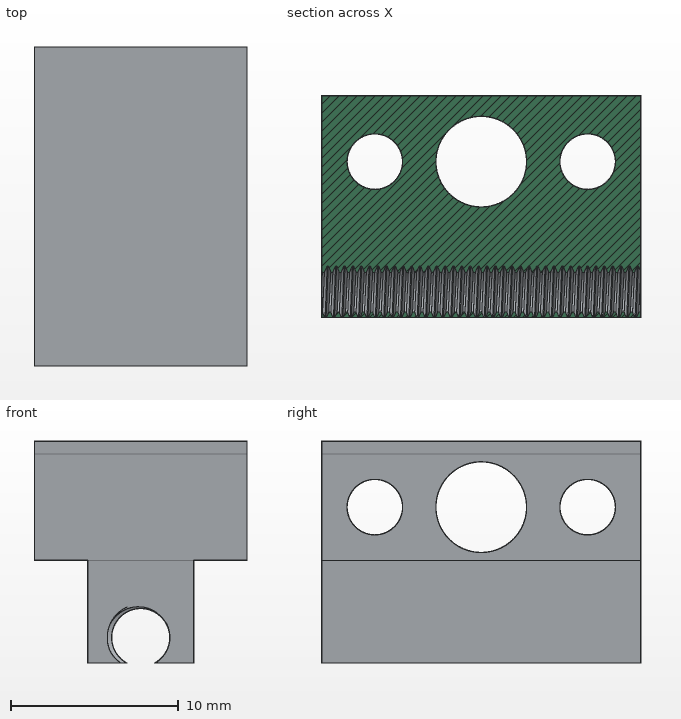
import cadquery as cq
import math

WIDTH = 12.7
LENGTH = 19.05
HEIGHT = 13.24
CAP_THICKNESS = 0.762
BLOCK_HEIGHT = 6.35
STEM_WIDTH = WIDTH / 2
STEM_HEIGHT = HEIGHT - CAP_THICKNESS - BLOCK_HEIGHT

CROSS_HOLE_Z = STEM_HEIGHT + BLOCK_HEIGHT / 2
BORE_DIAMETER = 5.4
SIDE_HOLE_DIAMETER = 3.3
SIDE_HOLE_OFFSET = LENGTH / 3
COUNTERSINK_DIAMETER = 4.1
COUNTERSINK_DEPTH = (COUNTERSINK_DIAMETER - SIDE_HOLE_DIAMETER) / 2

THREAD_Z = 1.52
THREAD_PITCH = 0.5
THREAD_MAJOR_RADIUS = 2.0
THREAD_FLANK_ANGLE = 30
THREAD_DEPTH = THREAD_PITCH / 2 / math.tan(math.radians(THREAD_FLANK_ANGLE)) * 5 / 8
THREAD_MINOR_RADIUS = THREAD_MAJOR_RADIUS - THREAD_DEPTH
GROOVE_ROOT_WIDTH = THREAD_PITCH / 8
GROOVE_FLANK_SLOPE = math.tan(math.radians(THREAD_FLANK_ANGLE))
GROOVE_OVERLAP = 0.05
THREAD_GAP_ANGLE = 20
THREAD_START_ANGLE = 90 - THREAD_GAP_ANGLE / 2
THREAD_RUNOUT_TURNS = 1


def slab(width, height, base_z):
    """Full-length box centred on X and Y, standing on base_z."""
    return cq.Workplane("XY").workplane(offset=base_z).rect(width, LENGTH).extrude(height)


def make_body():
    """T-shaped body; the seams between its three slabs are kept as edges."""
    stem = slab(STEM_WIDTH, STEM_HEIGHT, 0)
    block = slab(WIDTH, BLOCK_HEIGHT, STEM_HEIGHT)
    cap = slab(WIDTH, CAP_THICKNESS, STEM_HEIGHT + BLOCK_HEIGHT)
    return stem.union(block, clean=False).union(cap, clean=False)


def cross_hole(y, diameter):
    """Cylinder along X through the whole block."""
    plane = cq.Workplane("YZ", origin=(-WIDTH / 2, y, CROSS_HOLE_Z))
    return plane.circle(diameter / 2).extrude(WIDTH)


def countersink(y):
    """Cone at the -X mouth of a side hole."""
    cone = cq.Solid.makeCone(
        COUNTERSINK_DIAMETER / 2,
        SIDE_HOLE_DIAMETER / 2,
        COUNTERSINK_DEPTH,
        cq.Vector(-WIDTH / 2, y, CROSS_HOLE_Z),
        cq.Vector(1, 0, 0),
    )
    return cq.Workplane(cone)


def thread_bore():
    """Cylinder at the minor diameter of the thread."""
    plane = cq.Workplane("XZ", origin=(0, LENGTH / 2, THREAD_Z))
    return plane.circle(THREAD_MINOR_RADIUS).extrude(LENGTH)


def thread_turn():
    """One right-hand turn of the groove, its axis along Y, its gap centred on the open underside."""
    sweep_fraction = 1 - THREAD_GAP_ANGLE / 360
    helix = cq.Wire.makeHelix(THREAD_PITCH, THREAD_PITCH * sweep_fraction, THREAD_MINOR_RADIUS)
    inner_radius = THREAD_MINOR_RADIUS - GROOVE_OVERLAP
    root_half = GROOVE_ROOT_WIDTH / 2
    mouth_half = root_half + (THREAD_MAJOR_RADIUS - inner_radius) * GROOVE_FLANK_SLOPE
    profile = cq.Workplane("XZ").polyline([
        (inner_radius, -mouth_half),
        (THREAD_MAJOR_RADIUS, -root_half),
        (THREAD_MAJOR_RADIUS, root_half),
        (inner_radius, mouth_half),
    ]).close()
    turn = profile.sweep(cq.Workplane(helix), isFrenet=True)
    turn = turn.rotate((0, 0, 0), (0, 0, 1), 90 + THREAD_GAP_ANGLE / 2)
    return turn.rotate((0, 0, 0), (1, 0, 0), -90)


def cut_thread(body):
    """Cut the groove turn by turn, starting and ending beyond the end faces."""
    turn = thread_turn()
    turn_count = math.ceil(LENGTH / THREAD_PITCH) + 2 * THREAD_RUNOUT_TURNS
    lead_turns = THREAD_RUNOUT_TURNS + THREAD_START_ANGLE / 360
    first_y = -LENGTH / 2 - lead_turns * THREAD_PITCH
    turns = [turn.translate((0, first_y + i * THREAD_PITCH, THREAD_Z)).val() for i in range(turn_count)]
    return cq.Workplane(body.val().cut(*turns))


result = make_body()
result = result.cut(cross_hole(0, BORE_DIAMETER), clean=False)
for side_y in (-SIDE_HOLE_OFFSET, SIDE_HOLE_OFFSET):
    result = result.cut(cross_hole(side_y, SIDE_HOLE_DIAMETER), clean=False)
    result = result.cut(countersink(side_y), clean=False)
result = result.cut(thread_bore(), clean=False)
result = cut_thread(result)